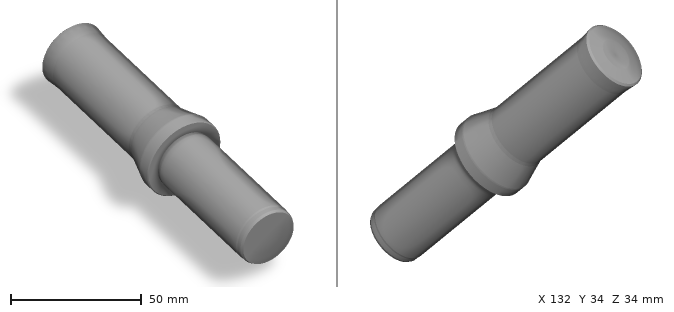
import cadquery as cq

overall_length = 132.0
face_rise = 0.46
front_chamfer_end = 1.2
head_length = 6.1
relief_end = 7.5
flare_start = 58.9
flare_end = 70.8
collar_back = 76.0
neck_end = 76.8
journal_start = 77.9
journal_end = 128.2
tail_start = 129.0
tail_chamfer = 1.0

head_radius = 13.9
face_rim_radius = 13.1
barrel_radius = 26.5 / 2
collar_radius = 34.0 / 2
neck_radius = 24.5 / 2
journal_radius = 25.0 / 2
tail_end_radius = 11.7

dimple_radius = 6.5
land_radius = 6.7
dimple_depth = 0.5

collar_chamfer = 0.4
flare_root_fillet = 5.3
flare_crown_fillet = 2.1

relief_slope = (head_radius - barrel_radius) / (relief_end - front_chamfer_end)
joint_radius = head_radius - relief_slope * (head_length - front_chamfer_end)


def revolve_about_x(outline):
    """Turn a closed (x, radius) outline about the X axis."""
    profile = cq.Workplane("XY").polyline(outline).close()
    return profile.revolve(360, (0, 0, 0), (1, 0, 0))


def blend_rim(body, x, radius, fillet_radius):
    """Fillet the circular edge of the given radius at station x."""
    margin = 0.1
    rim = cq.selectors.BoxSelector(
        (x - margin, -radius - margin, -radius - margin),
        (x + margin, radius + margin, radius + margin),
        boundingbox=True,
    )
    return body.edges(rim).fillet(fillet_radius)


def make_head():
    """Front head: coned face with a central dimple and a tapered rim."""
    return revolve_about_x([
        (dimple_depth, 0),
        (0, dimple_radius),
        (0, land_radius),
        (face_rise, face_rim_radius),
        (front_chamfer_end, head_radius),
        (head_length, joint_radius),
        (head_length, 0),
    ])


def make_shank():
    """Barrel, flared collar, relieved neck, journal and chamfered tail."""
    shank = revolve_about_x([
        (head_length, 0),
        (head_length, joint_radius),
        (relief_end, barrel_radius),
        (flare_start, barrel_radius),
        (flare_end, collar_radius),
        (collar_back - collar_chamfer, collar_radius),
        (collar_back, collar_radius - collar_chamfer),
        (collar_back, neck_radius),
        (neck_end, neck_radius),
        (journal_start, journal_radius),
        (journal_end, journal_radius),
        (tail_start, neck_radius),
        (overall_length - tail_chamfer, neck_radius),
        (overall_length, tail_end_radius),
        (overall_length, 0),
    ])
    shank = blend_rim(shank, flare_start, barrel_radius, flare_root_fillet)
    return blend_rim(shank, flare_end, collar_radius, flare_crown_fillet)


head = make_head()
shank = make_shank()
result = cq.Compound.makeCompound([head.val(), shank.val()])